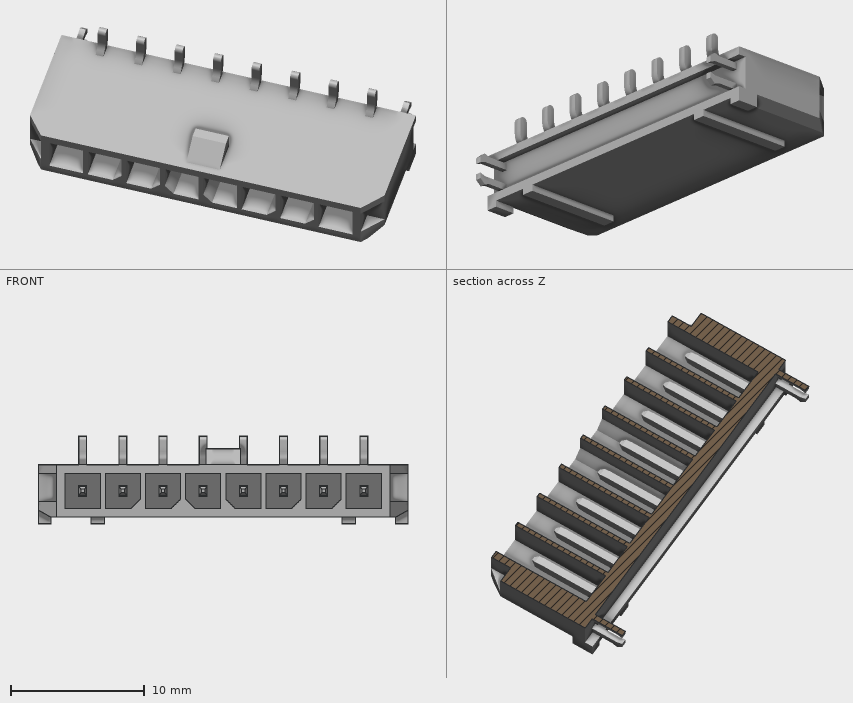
import cadquery as cq
import math

width = 27.65
depth = 9.9
bottom = 0.5
top = 4.42
mid_height = (bottom + top) / 2
half_width = width / 2

corner_x = 1.35
corner_y = 1.69
side_bevel_x = 0.95
side_bevel_z = 0.53
rear_recess_depth = 0.65
opening_height = 2.6
opening_bottom = mid_height - opening_height / 2
opening_top = mid_height + opening_height / 2
corner_pocket_bottom = 1.69

foot_width = 0.97
foot_front = 8.1
rib_front = 1.6
rib_inner = 8.87
rib_width = 1.02

cavity_width = 2.63
cavity_depth = 8.02
key_size = 0.7
key_sides = [0, 1, 1, -1, -1, 1, 1, 0]
row_length = 21.0
pitch = row_length / (len(key_sides) - 1)

pin_width = 0.6
pin_height = 0.83
pin_front = 2.5
pin_embed = 0.28
coined_height = 0.65
coined_length = 0.55
tip_length = 0.33
tip_size = 0.25

tail_thickness = 0.65
tail_top = 6.55
tail_bend_height = 5.33
tail_bend_angle = math.radians(40)
tail_inner_radius = 0.88
tail_embed = 0.83

latch_width = 2.6
latch_top = 5.6
latch_back = 2.99
latch_crest = 2.2
latch_toe = 0.58

prong_width = 0.47
prong_x = 12.63
prong_embed = 0.28
prong_end = 11.9
prong_barb_y = 11.47
prong_neck_y = 11.03
prong_inner = 0.58
prong_outer = 1.1
prong_barb = 1.27
prong_end_inner = 0.41
prong_end_outer = 0.88


def block(x0, x1, y0, y1, z0, z1):
    return cq.Workplane("XY").box(x1 - x0, y1 - y0, z1 - z0, centered=False).translate((x0, y0, z0))


def side_profile(points, x_centre, thickness):
    """Extrude a (Y, Z) outline along X, centred on x_centre."""
    plane = cq.Workplane("YZ").workplane(offset=x_centre - thickness / 2)
    return plane.polyline(points).close().extrude(thickness)


def make_housing():
    outline = [
        (-half_width + side_bevel_x, bottom),
        (half_width - side_bevel_x, bottom),
        (half_width, bottom + side_bevel_z),
        (half_width, top),
        (-half_width, top),
        (-half_width, bottom + side_bevel_z),
    ]
    body = cq.Workplane("XZ").polyline(outline).close().extrude(-depth)
    for side in (-1, 1):
        foot_x = sorted((side * half_width, side * (half_width - foot_width)))
        rib_x = sorted((side * rib_inner, side * (rib_inner + rib_width)))
        body = body.union(block(*foot_x, foot_front, depth, 0, bottom + side_bevel_z))
        body = body.union(block(*rib_x, rib_front, depth, 0, opening_bottom))

        outer = side * half_width
        inner = side * (half_width - corner_x)
        triangle = [(outer, 0), (inner, 0), (outer, corner_y)]
        body = body.cut(cq.Workplane("XY").polyline(triangle).close().extrude(top))
        pocket_x = sorted((outer, inner))
        body = body.cut(block(*pocket_x, 0, corner_y, corner_pocket_bottom, opening_top))
    recess = block(-half_width, half_width, depth - rear_recess_depth, depth, opening_bottom, opening_top)
    return body.cut(recess)


def make_cavity(x_centre, key_side):
    """Square cavity open at the front face, with one lower corner filled if keyed."""
    mouth = cq.Workplane("XZ").center(x_centre, mid_height).rect(cavity_width, opening_height)
    cavity = mouth.extrude(-cavity_depth)
    if key_side:
        wall = x_centre + key_side * cavity_width / 2
        key = [
            (wall, opening_bottom),
            (wall - key_side * key_size, opening_bottom),
            (wall, opening_bottom + key_size),
        ]
        cavity = cavity.cut(cq.Workplane("XZ").polyline(key).close().extrude(-cavity_depth))
    return cavity


def taper(x_centre, front, length, front_size, back_size):
    """Loft along +Y between two (width, height) sections centred at mid height."""
    return (
        cq.Workplane("XZ", origin=(x_centre, front, mid_height))
        .rect(*front_size)
        .workplane(offset=-length)
        .rect(*back_size)
        .loft()
    )


def make_pin(x_centre):
    """Contact pin with a pyramid tip, a coined neck and a rectangular shaft."""
    full_section = (pin_width, pin_height)
    neck_section = (pin_width, coined_height)
    neck_front = pin_front + tip_length
    shaft_front = neck_front + coined_length
    tip = taper(x_centre, pin_front, tip_length, (tip_size, tip_size), neck_section)
    neck = taper(x_centre, neck_front, coined_length, neck_section, full_section)
    shaft_length = cavity_depth + pin_embed - shaft_front
    shaft = taper(x_centre, shaft_front, shaft_length, full_section, full_section)
    return tip.union(neck).union(shaft)


def make_tail(x_centre):
    """Upright solder tail with a rounded end and a bend leading down into the housing."""
    back = depth
    front = depth - tail_thickness
    centre_y = front - tail_inner_radius
    outer_radius = tail_inner_radius + tail_thickness

    def on_bend(radius, angle):
        return (centre_y + radius * math.cos(angle), tail_bend_height - radius * math.sin(angle))

    inner_end = on_bend(tail_inner_radius, tail_bend_angle)
    outer_end = on_bend(outer_radius, tail_bend_angle)
    step_y = -tail_embed * math.sin(tail_bend_angle)
    step_z = -tail_embed * math.cos(tail_bend_angle)
    round_base = tail_top - tail_thickness / 2
    return (
        cq.Workplane("YZ", origin=(x_centre - pin_width / 2, 0, 0))
        .moveTo(front, tail_bend_height)
        .lineTo(front, round_base)
        .threePointArc(((front + back) / 2, tail_top), (back, round_base))
        .lineTo(back, tail_bend_height)
        .threePointArc(on_bend(outer_radius, tail_bend_angle / 2), outer_end)
        .lineTo(outer_end[0] + step_y, outer_end[1] + step_z)
        .lineTo(inner_end[0] + step_y, inner_end[1] + step_z)
        .lineTo(*inner_end)
        .threePointArc(on_bend(tail_inner_radius, tail_bend_angle / 2), (front, tail_bend_height))
        .close()
        .extrude(pin_width)
    )


def make_latch():
    ramp = [(latch_back, top), (latch_back, latch_top), (latch_crest, latch_top), (latch_toe, top)]
    return side_profile(ramp, 0, latch_width)


def make_prong(x_centre, direction):
    """One barbed prong, above (1) or below (-1) mid height."""
    root = depth - rear_recess_depth - prong_embed
    profile = [
        (root, prong_inner),
        (prong_barb_y, prong_inner),
        (prong_end, prong_end_inner),
        (prong_end, prong_end_outer),
        (prong_barb_y, prong_barb),
        (prong_neck_y, prong_outer),
        (root, prong_outer),
    ]
    points = [(y, mid_height + direction * height) for y, height in profile]
    return side_profile(points, x_centre, prong_width)


result = make_housing().union(make_latch())
for index, key_side in enumerate(key_sides):
    contact_x = index * pitch - row_length / 2
    result = result.cut(make_cavity(contact_x, key_side))
    result = result.union(make_pin(contact_x)).union(make_tail(contact_x))
for side in (-1, 1):
    for direction in (-1, 1):
        result = result.union(make_prong(side * prong_x, direction))